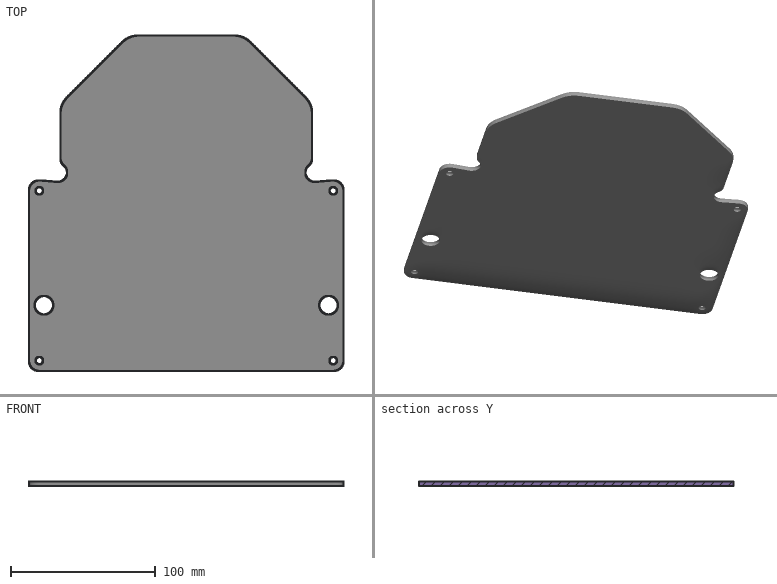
import cadquery as cq
import math

plate_width = 217.78
plate_length = 232.16
plate_thickness = 3.17
half_width = plate_width / 2

corner_radius = 7.29
mount_hole_diameter = 5.0
mount_hole_x = half_width - corner_radius
lower_mount_y = corner_radius
upper_mount_y = 124.7

side_hole_diameter = 12.7
side_hole_x = 98.4
side_hole_y = 45.6

head_half_width = 87.1
head_chamfer = 47.5
head_round_radius = 15.875

notch_radius = 6.35
notch_x = 88.8
notch_y = 137.3
notch_lip_radius = 6.35


def polar(center, radius, angle):
    """Point at a given radius and angle (radians) from a center."""
    return (center[0] + radius * math.cos(angle), center[1] + radius * math.sin(angle))


def half_plate():
    """Right half of the plate, bounded by the centerline X = 0."""
    lower_corner = (mount_hole_x, lower_mount_y)
    upper_corner = (mount_hole_x, upper_mount_y)
    notch = (notch_x, notch_y)

    center_dx = notch_x - mount_hole_x
    center_dy = notch_y - upper_mount_y
    center_distance = math.hypot(center_dx, center_dy)
    toward_notch = math.atan2(center_dy, center_dx)
    shoulder_normal = toward_notch - math.acos((corner_radius + notch_radius) / center_distance)
    shoulder_outer = polar(upper_corner, corner_radius, shoulder_normal)
    shoulder_inner = polar(notch, notch_radius, shoulder_normal + math.pi)

    lip_x = head_half_width - notch_lip_radius
    lip_distance = notch_radius + notch_lip_radius
    lip_y = notch_y + math.sqrt(lip_distance**2 - (notch_x - lip_x) ** 2)
    lip = (lip_x, lip_y)
    lip_end_angle = math.atan2(notch_y - lip_y, notch_x - lip_x)
    lip_start = polar(lip, notch_lip_radius, lip_end_angle)

    chamfer_angle = math.radians(45)
    setback = head_round_radius * math.tan(chamfer_angle / 2)
    side_center = (
        head_half_width - head_round_radius,
        plate_length - head_chamfer - setback,
    )
    top_center = (
        head_half_width - head_chamfer - setback,
        plate_length - head_round_radius,
    )

    return (
        cq.Workplane("XY")
        .lineTo(mount_hole_x, 0)
        .threePointArc(
            polar(lower_corner, corner_radius, math.radians(-45)),
            (half_width, lower_mount_y),
        )
        .lineTo(half_width, upper_mount_y)
        .threePointArc(
            polar(upper_corner, corner_radius, shoulder_normal / 2),
            shoulder_outer,
        )
        .lineTo(*shoulder_inner)
        .threePointArc((notch_x - notch_radius, notch_y), lip_start)
        .threePointArc(
            polar(lip, notch_lip_radius, lip_end_angle / 2),
            (head_half_width, lip_y),
        )
        .lineTo(*polar(side_center, head_round_radius, 0))
        .threePointArc(
            polar(side_center, head_round_radius, chamfer_angle / 2),
            polar(side_center, head_round_radius, chamfer_angle),
        )
        .lineTo(*polar(top_center, head_round_radius, chamfer_angle))
        .threePointArc(
            polar(top_center, head_round_radius, 1.5 * chamfer_angle),
            polar(top_center, head_round_radius, 2 * chamfer_angle),
        )
        .lineTo(0, plate_length)
        .close()
        .extrude(plate_thickness)
    )


def through_holes(points, diameter):
    """Cylinders that pass through the full plate thickness."""
    return cq.Workplane("XY").pushPoints(points).circle(diameter / 2).extrude(plate_thickness)


mount_points = [
    (side * mount_hole_x, y)
    for side in (-1, 1)
    for y in (lower_mount_y, upper_mount_y)
]
side_points = [(side * side_hole_x, side_hole_y) for side in (-1, 1)]

right_half = half_plate()
plate = right_half.union(right_half.mirror("YZ")).clean()
plate = plate.cut(through_holes(mount_points, mount_hole_diameter))
result = plate.cut(through_holes(side_points, side_hole_diameter))